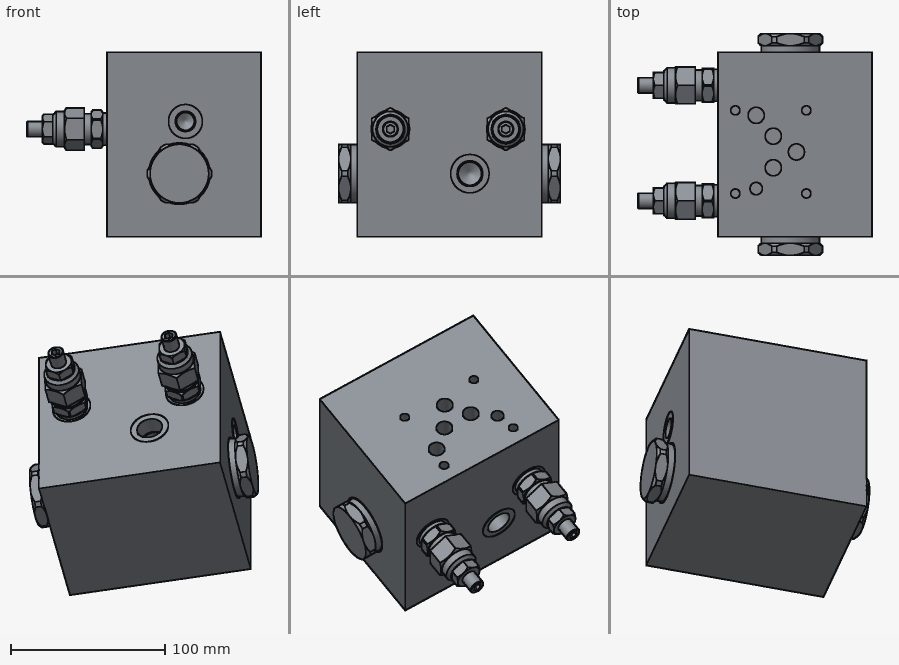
import cadquery as cq
import math

OVERALL_X = 152
BLOCK_X = 100.0
BLOCK_Y = 120.0
BLOCK_Z = 120.0
SPOTFACE_DEPTH = 0.3

PATTERN_X = 11.2
PATTERN_Y = BLOCK_Y / 2 - 37.8
BOLT_SPAN_X = 46.0
BOLT_SPAN_Y = 54.0
BOLT_D = 6.0
BOLT_DEPTH = 15.2
TANK_X = 13.5
TANK_EDGE = 3.2
WORK_X = 24.6
WORK_EDGE = 16.7
PRESSURE_X = 39.7
PORT_D = 10.5
SMALL_TANK_D = 8.0
PORT_DEPTH = 22.8

GAUGE_THREAD_DEPTH = 12.2
GAUGE_DRILL_DEPTH = 16.7
DRILL_TIP_ANGLE = 118
FRONT_GAUGE_X = 50.9
FRONT_GAUGE_Z = 75.0
FRONT_GAUGE_DRILL_D = 11.5
FRONT_GAUGE_THREAD_D = 13.2
FRONT_GAUGE_SPOTFACE_D = 22.0
SIDE_GAUGE_Y = -13.2
SIDE_GAUGE_DRILL_D = 15.0
SIDE_GAUGE_THREAD_D = 16.7
SIDE_GAUGE_SPOTFACE_D = 25.0

PLUG_X = 47.0
PLUG_Z = 41
PLUG_REACH = 12.0
PLUG_HEX_LENGTH = 7.9
PLUG_FLATS = 38
PLUG_NECK_D = PLUG_FLATS
PLUG_CORNER_D = 42.0
PLUG_CHAMFER = (PLUG_CORNER_D - PLUG_FLATS) / 2
PLUG_SPOTFACE_D = 40.0
SIDE_GAUGE_Z = PLUG_Z

CARTRIDGE_SPACING = 75.0
CARTRIDGE_EDGE = 21.6
CARTRIDGE_Y = (
    BLOCK_Y / 2 - CARTRIDGE_EDGE,
    BLOCK_Y / 2 - CARTRIDGE_EDGE - CARTRIDGE_SPACING,
)
CARTRIDGE_Z = BLOCK_Z - 50.0
CARTRIDGE_SPOTFACE_D = 25.0

FLANGE_END = 2.7
NUT_END = 10.3
NECK_END = 14.7
BODY_END = 27.8
COLLAR_END = 33.0
CONE_END = 35.1
LOCKNUT_END = 42.0
STEM_END = OVERALL_X - BLOCK_X

FLANGE_D = 21.0
NUT_FLATS = 22.0
NUT_CORNER_D = 25.0
NUT_CHAMFER = 1.2
NECK_D = 20.0
BODY_FLATS = 24.0
BODY_TIP_D = 23.1
BODY_CHAMFER = 1.5
COLLAR_D = 23.0
CONE_TIP_D = 18.7
LOCKNUT_FLATS = 16.9
LOCKNUT_CHAMFER = 1.0
STEM_D = 10.0
STEM_CHAMFER = 0.5
SOCKET_FLATS = 5.0
SOCKET_DEPTH = 4.5


def corner_diameter(flats):
    """Distance across the corners of a hexagon with the given distance across flats."""
    return flats / math.cos(math.radians(30))


def cylinder(diameter, start, end):
    """Cylinder along +Z between two heights."""
    return cq.Workplane("XY").workplane(offset=start).circle(diameter / 2).extrude(end - start)


def turned(points):
    """Solid turned about Z; each point is (diameter, height), from bottom to top."""
    profile = [(diameter / 2, height) for diameter, height in points]
    axis_ends = [(0, points[-1][1]), (0, points[0][1])]
    return (
        cq.Workplane("XZ")
        .polyline(profile + axis_ends)
        .close()
        .revolve(360, (0, 0, 0), (0, 1, 0))
    )


def hexagon(flats, start, end):
    """Hexagonal prism along +Z with two corners on the X axis."""
    return (
        cq.Workplane("XY")
        .workplane(offset=start)
        .polygon(6, corner_diameter(flats))
        .extrude(end - start)
    )


def double_chamfered_hexagon(flats, corner_d, end_d, chamfer, start, end):
    """Hexagonal prism with turned-down corners and a conical chamfer at both ends."""
    envelope = turned([
        (end_d, start),
        (corner_d, start + chamfer),
        (corner_d, end - chamfer),
        (end_d, end),
    ])
    return hexagon(flats, start, end).intersect(envelope)


def tip_chamfered_hexagon(flats, tip_d, chamfer, start, end):
    """Hexagonal prism with a conical chamfer at its outer end only."""
    corner_d = corner_diameter(flats)
    envelope = turned([(corner_d, start), (corner_d, end - chamfer), (tip_d, end)])
    return hexagon(flats, start, end).intersect(envelope)


def on_left_face(shape, y, z):
    """Place a shape built along +Z so that it points out of the -X face; its X axis turns to Z."""
    return shape.rotate((0, 0, 0), (0, 1, 0), -90).translate((0, y, z))


def on_front_face(shape, x, z):
    """Place a shape built along +Z so that it points out of the -Y face."""
    return shape.rotate((0, 0, 0), (1, 0, 0), 90).translate((x, -BLOCK_Y / 2, z))


def spotface(diameter):
    """Cutter for a shallow round seat below height zero."""
    return cylinder(diameter, -SPOTFACE_DEPTH, 0)


def gauge_port(drill_d, thread_d, spotface_d):
    """Cutter: spotface, thread bore and a narrower drilled hole with a conical tip."""
    tip_length = drill_d / 2 / math.tan(math.radians(DRILL_TIP_ANGLE / 2))
    hole = turned([
        (0, -GAUGE_DRILL_DEPTH - tip_length),
        (drill_d, -GAUGE_DRILL_DEPTH),
        (drill_d, -GAUGE_THREAD_DEPTH),
        (thread_d, -GAUGE_THREAD_DEPTH),
        (thread_d, -SPOTFACE_DEPTH),
    ])
    return hole.union(spotface(spotface_d))


def plug_head():
    """Round neck from the spotface floor and a double-chamfered hexagon."""
    hex_start = PLUG_REACH - PLUG_HEX_LENGTH
    neck = cylinder(PLUG_NECK_D, -SPOTFACE_DEPTH, hex_start)
    head = double_chamfered_hexagon(
        PLUG_FLATS, PLUG_CORNER_D, PLUG_FLATS, PLUG_CHAMFER, hex_start, PLUG_REACH
    )
    return neck.union(head)


def top_holes():
    """Cutter: four bolt holes and five valve ports in the top face."""
    tank_far = BOLT_SPAN_Y - TANK_EDGE
    work_far = BOLT_SPAN_Y - WORK_EDGE
    bolts = [(x, y) for x in (0, BOLT_SPAN_X) for y in (0, -BOLT_SPAN_Y)]
    ports = [
        (TANK_X, -TANK_EDGE),
        (WORK_X, -WORK_EDGE),
        (PRESSURE_X, -BOLT_SPAN_Y / 2),
        (WORK_X, -work_far),
    ]
    pattern = cq.Workplane("XY", origin=(PATTERN_X, PATTERN_Y, BLOCK_Z))
    bolt_holes = pattern.pushPoints(bolts).circle(BOLT_D / 2).extrude(-BOLT_DEPTH)
    port_holes = pattern.pushPoints(ports).circle(PORT_D / 2).extrude(-PORT_DEPTH)
    small_tank = pattern.center(TANK_X, -tank_far).circle(SMALL_TANK_D / 2).extrude(-PORT_DEPTH)
    return bolt_holes.add(port_holes).add(small_tank).combine()


def make_block():
    """Valve block with its ports, spotfaces and the two plug heads."""
    block = cq.Workplane("XY").box(BLOCK_X, BLOCK_Y, BLOCK_Z).translate((BLOCK_X / 2, 0, BLOCK_Z / 2))
    block = block.cut(top_holes())

    front_gauge = gauge_port(FRONT_GAUGE_DRILL_D, FRONT_GAUGE_THREAD_D, FRONT_GAUGE_SPOTFACE_D)
    block = block.cut(on_front_face(front_gauge, FRONT_GAUGE_X, FRONT_GAUGE_Z))
    side_gauge = gauge_port(SIDE_GAUGE_DRILL_D, SIDE_GAUGE_THREAD_D, SIDE_GAUGE_SPOTFACE_D)
    block = block.cut(on_left_face(side_gauge, SIDE_GAUGE_Y, SIDE_GAUGE_Z))

    for y in CARTRIDGE_Y:
        block = block.cut(on_left_face(spotface(CARTRIDGE_SPOTFACE_D), y, CARTRIDGE_Z))

    plug_seat = on_front_face(spotface(PLUG_SPOTFACE_D), PLUG_X, PLUG_Z)
    plug = on_front_face(plug_head(), PLUG_X, PLUG_Z)
    block = block.cut(plug_seat).cut(plug_seat.mirror("XZ"))
    return block.union(plug).union(plug.mirror("XZ"))


def make_cartridge(y):
    """Screw-in cartridge standing on the floor of its spotface in the -X face."""
    flange = cylinder(FLANGE_D, -SPOTFACE_DEPTH, FLANGE_END)
    nut = double_chamfered_hexagon(
        NUT_FLATS, NUT_CORNER_D, NUT_FLATS, NUT_CHAMFER, FLANGE_END, NUT_END
    )
    neck = cylinder(NECK_D, NUT_END, NECK_END)
    body = tip_chamfered_hexagon(BODY_FLATS, BODY_TIP_D, BODY_CHAMFER, NECK_END, BODY_END)
    collar = turned([(COLLAR_D, BODY_END), (COLLAR_D, COLLAR_END), (CONE_TIP_D, CONE_END)])
    locknut = tip_chamfered_hexagon(
        LOCKNUT_FLATS, LOCKNUT_FLATS, LOCKNUT_CHAMFER, CONE_END, LOCKNUT_END
    )
    stem = cylinder(STEM_D, LOCKNUT_END, STEM_END).faces(">Z").chamfer(STEM_CHAMFER)

    cartridge = flange
    for section in (nut, neck, body, collar, locknut, stem):
        cartridge = cartridge.union(section)
    socket = hexagon(SOCKET_FLATS, STEM_END - SOCKET_DEPTH, STEM_END)
    return on_left_face(cartridge.cut(socket), y, CARTRIDGE_Z)


block = make_block()
cartridges = [make_cartridge(y) for y in CARTRIDGE_Y]

result = cq.Compound.makeCompound([block.val(), *[cartridge.val() for cartridge in cartridges]])